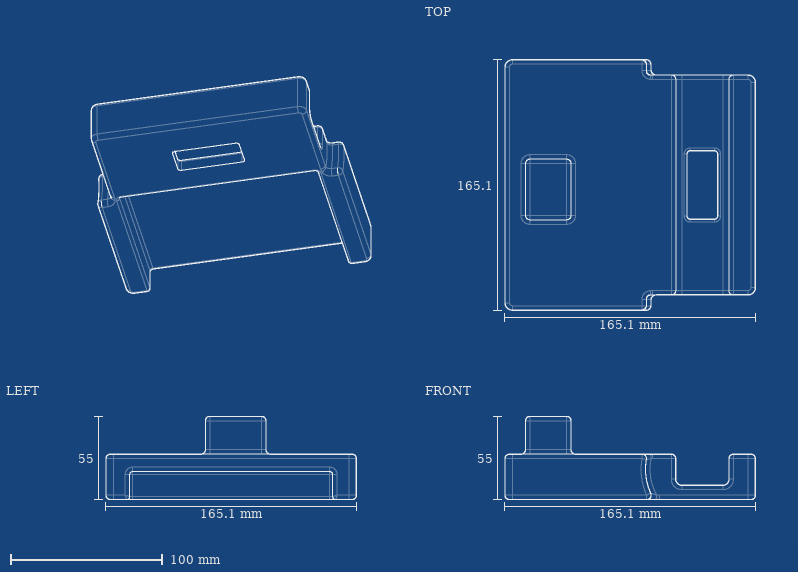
import cadquery as cq
import math

length = 165.1
wide_width = 165.1
narrow_width = 145.0
plate_height = 30.0
edge_radius = 3.0
corner_radius = 5.0

left_end = -length / 2
right_end = length / 2

groove_left = left_end + 112.6
groove_width = 35.0
groove_floor = 9.5
groove_corner_radius = 4.0
groove_right = groove_left + groove_width
groove_centre = groove_left + groove_width / 2

shoulder_radius = 37.5
shoulder_centre_height = 20.0
shoulder_depth = (wide_width - narrow_width) / 2

slot_width = 20.0
slot_length = 44.9
slot_radius = 2.0

channel_width = 133.7
channel_height = 18.5
channel_depth = 100.0
channel_radius = 2.0

block_length = 30.0
block_width = 40.0
block_height = 25.0
block_left = left_end + 13.5
block_offset = -3.0
block_y_min = block_offset - block_width / 2

overshoot = 8.3
margin = 0.8


def shoulder_x(height):
    """X of the shoulder wall at a given height."""
    rise = height - shoulder_centre_height
    return groove_centre - math.sqrt(shoulder_radius**2 - rise**2)


def box_from(corner, size):
    """Box placed by its lowest corner."""
    return cq.Workplane("XY").box(*size, centered=False).translate(corner)


def box_on_centreline(x_min, x_size, y_size, z_min, z_size):
    """Box symmetric about the XZ plane, placed by its left and bottom faces."""
    return box_from((x_min, -y_size / 2, z_min), (x_size, y_size, z_size))


def region(low, high, whole_edges=False):
    """Selector for edges centred in, or wholly in, a box grown by the margin."""
    grown_low = tuple(value - margin for value in low)
    grown_high = tuple(value + margin for value in high)
    return cq.selectors.BoxSelector(grown_low, grown_high, boundingbox=whole_edges)


def shoulder_cutter(side):
    """Prism removed beside the narrow part; side is +1 or -1 along Y."""
    low = -overshoot
    high = plate_height + overshoot
    far_right = right_end + overshoot
    inner_face = side * narrow_width / 2
    profile = (
        cq.Workplane("XZ", origin=(0, inner_face, 0))
        .moveTo(far_right, low)
        .lineTo(shoulder_x(low), low)
        .threePointArc(
            (groove_centre - shoulder_radius, shoulder_centre_height),
            (shoulder_x(high), high),
        )
        .lineTo(far_right, high)
        .close()
    )
    return profile.extrude(-side * (shoulder_depth + overshoot))


def make_plate():
    plate = box_on_centreline(left_end, length, wide_width, 0, plate_height)
    for side in (1, -1):
        plate = plate.cut(shoulder_cutter(side))
    plate = plate.edges("|Z").fillet(corner_radius)
    upright_arcs = region(
        (groove_centre - shoulder_radius, -wide_width / 2, edge_radius),
        (shoulder_x(0), wide_width / 2, plate_height - edge_radius),
    )
    return plate.edges("%CIRCLE").edges(upright_arcs).fillet(edge_radius)


def cut_groove(plate):
    groove = box_on_centreline(groove_left, groove_width, wide_width, groove_floor, plate_height)
    groove = groove.edges("|Y and <Z").fillet(groove_corner_radius)
    return plate.cut(groove)


def cut_channel(plate):
    channel = box_on_centreline(
        left_end - overshoot,
        channel_depth + overshoot,
        channel_width,
        -overshoot,
        channel_height + overshoot,
    )
    channel = channel.edges(">Z or (|Z and >X)").fillet(channel_radius)
    return plate.cut(channel)


def round_outer_edges(plate):
    """Round the outlines, the groove rim and the channel mouth, then the channel's bottom rim."""
    groove_region = region(
        (groove_left, -narrow_width / 2, groove_floor),
        (groove_right, narrow_width / 2, plate_height),
    )
    channel_region = region(
        (left_end + overshoot, -channel_width / 2, 0),
        (left_end + channel_depth, channel_width / 2, 0),
    )
    groove_rim = plate.faces("|Y").edges(groove_region).edges("not |Y")
    bottom_outline = plate.faces("<Z").edges(-channel_region)
    outer_edges = plate.faces("<X or >Z").edges().add(bottom_outline).add(groove_rim)
    plate = plate.newObject(outer_edges.vals()).fillet(edge_radius)
    return plate.faces("<Z").edges(channel_region).fillet(channel_radius)


def cut_slot(plate):
    slot_left = groove_centre - slot_width / 2
    slot = box_on_centreline(slot_left, slot_width, slot_length, -overshoot, plate_height)
    plate = plate.cut(slot.edges("|Z").fillet(slot_radius))
    upper_rim = region(
        (slot_left, -slot_length / 2, groove_floor),
        (slot_left + slot_width, slot_length / 2, groove_floor),
        whole_edges=True,
    )
    return plate.edges(upper_rim).fillet(slot_radius)


def add_block(plate):
    block = box_from(
        (block_left, block_y_min, plate_height - overshoot),
        (block_length, block_width, block_height + overshoot),
    )
    plate = plate.union(block.edges("|Z or >Z").fillet(edge_radius))
    base_edges = region(
        (block_left, block_y_min, plate_height),
        (block_left + block_length, block_y_min + block_width, plate_height),
        whole_edges=True,
    )
    return plate.edges(base_edges).fillet(edge_radius)


result = make_plate()
result = cut_groove(result)
result = cut_channel(result)
result = round_outer_edges(result)
result = cut_slot(result)
result = add_block(result)